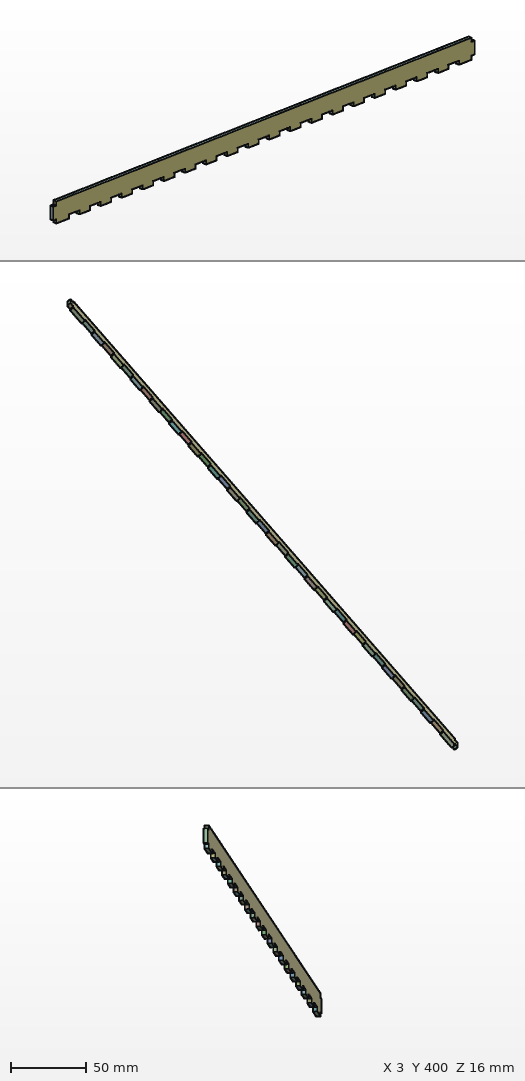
import cadquery as cq

thickness = 3.0
length = 400.0
height = 16.0
step_depth = 3.0
notch_pitch = 20.0
notch_width = notch_pitch / 2
notch_count = round(length / notch_pitch) - 1


def make_strip():
    """Plain rectangular strip centred on the origin."""
    return cq.Workplane("XY").box(thickness, length, height)


def cut_corner_steps(body):
    """Step all four corners, leaving a central tongue on each end."""
    corners = cq.Workplane("YZ").rect(length, height, forConstruction=True).vertices()
    cutters = corners.rect(2 * step_depth, 2 * step_depth).extrude(thickness / 2, both=True)
    return body.cut(cutters)


def cut_bottom_notches(body):
    """Cut evenly pitched square notches in the bottom edge, leaving a row of teeth."""
    cutters = (
        cq.Workplane("YZ")
        .center(0, -height / 2)
        .rarray(notch_pitch, 1, notch_count, 1)
        .rect(notch_width, 2 * step_depth)
        .extrude(thickness / 2, both=True)
    )
    return body.cut(cutters)


strip = make_strip()
strip = cut_corner_steps(strip)
result = cut_bottom_notches(strip)